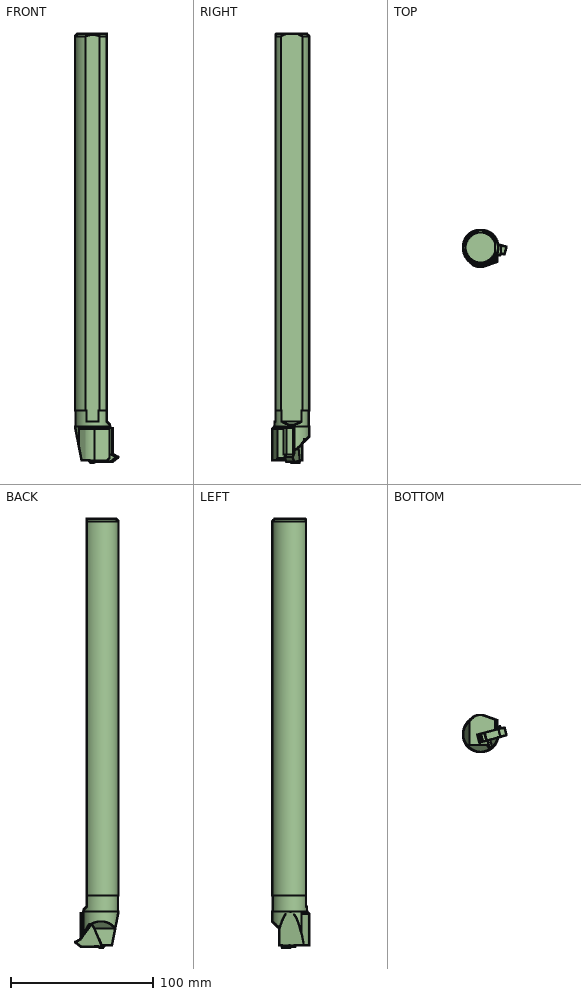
import cadquery as cq
import math

length = 302.0
bar_radius = 12.5
end_chamfer = 1.8

front_flat = 11.5
side_flat = 10.0
flat_bottom = 29.3
neck_radius = 12.2
neck_top = 37.0
neck_bottom = 25.7

head_bottom = 1.95
head_top = 25.5
head_front = 13.77
head_side = 11.8
head_chamfer = 1.2
buried_corner = (-3.0, -3.0)
bevel_start = (-9.7, -8.2)
arc_start = (-4.98, -12.53)
arc_middle = (-3.0, -13.38)
front_flat_left = -0.5
front_flat_right = 1.2
side_corner_y = -10.0
rear_flat = 7.5
rear_slope_bottom = 14.0
taper_bottom_x = -8.0
corner_cut = 1.5
jaw_reach = 14.5
jaw_top = 24.8
jaw_bottom = 6.0
jaw_outline = [
    (0, -4.8),
    (head_side, -4.8),
    (13.5, -5.7),
    (jaw_reach, -3.5),
    (jaw_reach, 1.0),
    (13.3, 2.0),
    (0, 2.0),
]

insert_tilt = math.radians(15)
insert_thickness = 5.7
insert_top = 17.0
cutting_tip_x = 18.3
cutting_tip_y = 0.5
cutting_tip_z = 4.2
insert_outline = [
    (0, cutting_tip_z),
    (-3.5, 6.0),
    (-4.5, 7.0),
    (-12.0, insert_top),
    (-14.0, insert_top),
    (-20.0, 1.5),
    (-18.57, 0),
    (-17.2, 1.05),
    (-14.8, 1.5),
    (-14.5, 1.0),
    (-4.5, 1.0),
]
pocket_clearance_depth = 18.0


def cylinder(radius, bottom, top):
    return cq.Workplane("XY").workplane(offset=bottom).circle(radius).extrude(top - bottom)


def make_shank():
    """Round shank with its narrower neck and two clamping flats."""
    shank = cylinder(bar_radius, neck_top, length).faces(">Z").chamfer(end_chamfer)
    shank = shank.union(cylinder(neck_radius, neck_bottom, neck_top))
    front_cut = (
        cq.Workplane("XY").workplane(offset=flat_bottom)
        .rect(2 * bar_radius, 2 * bar_radius).extrude(length - flat_bottom)
        .translate((0, -front_flat - bar_radius, 0))
    )
    shank = shank.cut(front_cut)
    runout = bar_radius - side_flat
    side_profile = [
        (side_flat, length),
        (side_flat, flat_bottom),
        (side_flat + 2 * runout, flat_bottom - 2 * runout),
        (side_flat + 2 * runout, length),
    ]
    side_cut = cq.Workplane("XZ").polyline(side_profile).close().extrude(bar_radius, both=True)
    return shank.cut(side_cut)


def make_head():
    """Round core with a faceted front and a jaw reaching out on the +X side."""
    core = cylinder(bar_radius, head_bottom, neck_bottom)
    front = (
        cq.Workplane("XY").workplane(offset=head_bottom)
        .moveTo(*buried_corner)
        .lineTo(*bevel_start)
        .lineTo(*arc_start)
        .threePointArc(arc_middle, (front_flat_left, -head_front))
        .lineTo(front_flat_right, -head_front)
        .lineTo(head_side, side_corner_y)
        .lineTo(head_side, buried_corner[1])
        .close()
        .extrude(head_top - head_bottom)
        .faces(">Z").chamfer(head_chamfer)
    )
    jaw = (
        cq.Workplane("XY").workplane(offset=jaw_bottom)
        .polyline(jaw_outline).close().extrude(jaw_top - jaw_bottom)
    )
    head = core.union(front).union(jaw)

    taper_outline = [
        (taper_bottom_x, head_bottom), (-bar_radius, neck_bottom), (-2 * bar_radius, neck_bottom),
        (-2 * bar_radius, head_bottom),
    ]
    head = head.cut(cq.Workplane("XZ").polyline(taper_outline).close().extrude(2 * bar_radius, both=True))

    rear_run = 2 * bar_radius - rear_flat
    rear_outline = [
        (rear_flat, head_bottom), (rear_flat, rear_slope_bottom),
        (2 * bar_radius, rear_slope_bottom + rear_run), (2 * bar_radius, head_bottom),
    ]
    head = head.cut(cq.Workplane("YZ").polyline(rear_outline).close().extrude(2 * bar_radius, both=True))

    bevel_outline = [
        (head_side - corner_cut, head_bottom), (2 * bar_radius, head_bottom),
        (2 * bar_radius, head_bottom + corner_cut), (head_side, head_bottom + corner_cut),
    ]
    return head.cut(cq.Workplane("XZ").polyline(bevel_outline).close().extrude(2 * bar_radius, both=True))


def insert_sketch():
    """Insert outline drawn on the tilted rake face."""
    rake_face = cq.Plane(
        origin=(cutting_tip_x, cutting_tip_y, 0),
        xDir=(math.cos(insert_tilt), -math.sin(insert_tilt), 0),
        normal=(-math.sin(insert_tilt), -math.cos(insert_tilt), 0),
    )
    return cq.Workplane(rake_face).polyline(insert_outline).close()


def make_insert():
    return insert_sketch().extrude(insert_thickness)


def make_bar(insert):
    """Shank and head in one, with the insert pocket open towards +Y."""
    pocket = insert.union(insert_sketch().extrude(-pocket_clearance_depth))
    return make_shank().union(make_head()).cut(pocket)


insert = make_insert()
bar = make_bar(insert)
result = cq.Compound.makeCompound([bar.val(), insert.val()])